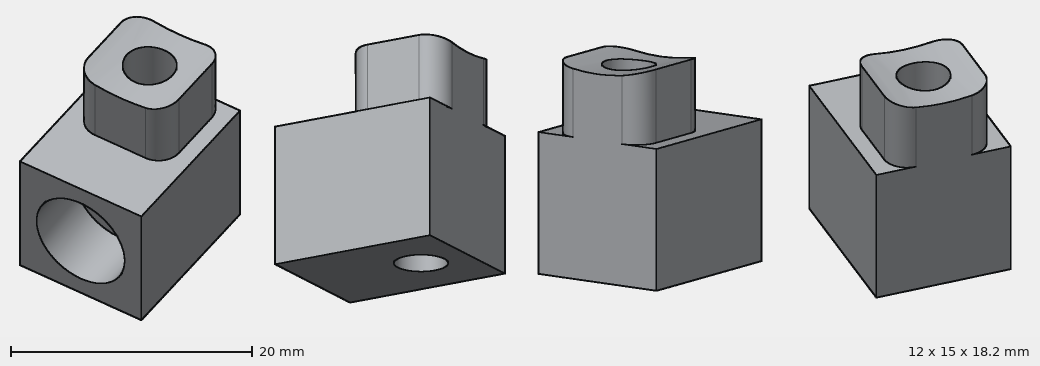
import cadquery as cq

body_width = 12.0
body_length = 15.0
body_height = 12.0
total_height = 18.21

post_side = 9.0
post_corner_radius = 2.0
saddle_depth = 0.6
cross_hole_diameter = 4.5

bore_diameter = 8.7
bore_depth = 5.86

post_center_y = body_length / 2 - post_side / 2


def make_body():
    return cq.Workplane("XY").box(body_width, body_length, body_height, centered=(True, True, False))


def make_post():
    """Rounded square post whose top is hollowed by an arc running along Y."""
    half_side = post_side / 2
    profile = (
        cq.Workplane("XZ", origin=(0, body_length / 2, 0))
        .moveTo(-half_side, body_height)
        .lineTo(-half_side, total_height)
        .threePointArc((0, total_height - saddle_depth), (half_side, total_height))
        .lineTo(half_side, body_height)
        .close()
        .extrude(post_side)
    )
    return profile.edges("|Z").fillet(post_corner_radius)


def make_bore():
    return (
        cq.Workplane("XZ", origin=(0, -body_length / 2, body_height / 2))
        .circle(bore_diameter / 2)
        .extrude(-bore_depth)
    )


def make_cross_hole():
    """Vertical hole through the post and the whole body."""
    return (
        cq.Workplane("XY")
        .center(0, post_center_y)
        .circle(cross_hole_diameter / 2)
        .extrude(total_height)
    )


result = make_body().union(make_post()).cut(make_bore()).cut(make_cross_hole())